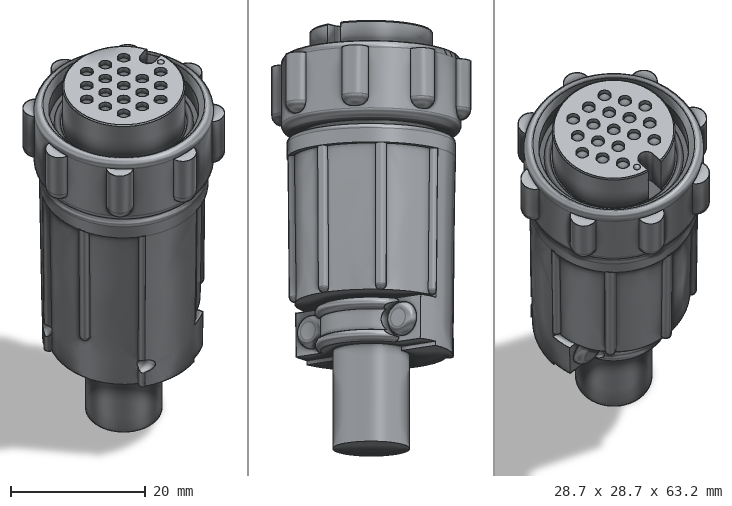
import cadquery as cq
import math


BODY_BOTTOM = 14.15
BACK_BOTTOM = 21.85
BODY_TOP = 43.9
COLLAR_TOP = 46.8
NUT_BOTTOM = 47.7
NUT_TOP = 59.25
FACE_TOP = 63.0
DOT_TOP = 63.2

CABLE_RADIUS = 5.7
NECK_RADIUS = 10.25
INSERT_RADIUS = 9.1
INSERT_CHAMFER = 0.2

SHELL_TOP_RADIUS = 12.5
SHELL_BOTTOM_RADIUS = 12.05
PANEL_TOP_RADIUS = 11.6
PANEL_BOTTOM_RADIUS = 11.25
COLLAR_ROUND = 0.75

RIDGE_RADIUS = 0.8
RIDGE_TOP_AXIS = 11.6
RIDGE_BOTTOM_AXIS = 11.45
RIDGE_END_ROUND = 0.75
FRONT_RIDGE_ANGLE = -90
BACK_RIDGE_ANGLES = (0, 45, 90, 135, 180)
EDGE_RIDGE_ANGLES = (-135, -45)

SCREW_X = 8.45
SCREW_Z = 18.1
SCREW_HOLE_RADIUS = 1.2
SCREW_HOLE_BOTTOM_Y = -5.05

CLAMP_BOTTOM = 14.8
CLAMP_TOP = 21.4
CLAMP_SEAT_Y = 3.15
SADDLE_RADIUS = 7.5
RIM_RADIUS = 8.35
RIM_ROUND = 0.9
HEAD_RADIUS = 2.5
HEAD_HEIGHT = 1.25
HEAD_ROUND = 1.15
HEAD_POCKET_RADIUS = 2.8

NUT_RADIUS = 13.3
NUT_TOP_ROUND = 1.15
NUT_BOTTOM_ROUND = 1.2
NUT_BORE_RADIUS = 11.1
NUT_BORE_CHAMFER = 0.9
NUT_FLOOR = 55.8
SEAL_CENTRE_RADIUS = 9.85
SEAL_ROUND = 0.475
GRIP_COUNT = 8
GRIP_FIRST_ANGLE = 27.5
GRIP_CENTRE_RADIUS = 12.95
GRIP_RADIUS = 2.0
GRIP_BOTTOM = 49.3
GRIP_END_ROUND = 1.6

MIDDLE_ROW_PINS = 5
PIN_PITCH = 3.15
PIN_ROW_PITCH = PIN_PITCH * math.sqrt(3) / 2
PIN_RADIUS = 0.95
PIN_DEPTH = 0.9
KEY_RADIUS = 1.25
KEY_CENTRE_Y = 7.2
DOT_X = 2.1
DOT_Y = 7.4
DOT_RADIUS = 0.5

REACH = 2 * NUT_RADIUS


def cylinder(radius, bottom, top):
    return cq.Workplane("XY").workplane(offset=bottom).circle(radius).extrude(top - bottom)


def block(x_range, y_range, z_range):
    size = [high - low for low, high in (x_range, y_range, z_range)]
    corner = (x_range[0], y_range[0], z_range[0])
    return cq.Workplane("XY").box(*size, centered=False).translate(corner)


def half_space(y_range, z_range):
    """A block wider than the body, spanning the given Y and Z ranges."""
    return block((-REACH, REACH), y_range, z_range)


def tapered_body(bottom_radius, top_radius):
    profile = [(0, BODY_BOTTOM), (bottom_radius, BODY_BOTTOM), (top_radius, BODY_TOP), (0, BODY_TOP)]
    return cq.Workplane("XZ").polyline(profile).close().revolve(360, (0, 0), (0, 1))


def torus(centre_radius, round_radius, z):
    ring = cq.Workplane("XZ").center(centre_radius, z).circle(round_radius)
    return ring.revolve(360, (-centre_radius, 0), (-centre_radius, 1))


def rod_along_y(radius, x, start_y, length):
    """A round rod at screw height, running from start_y by length along Y (negative: forwards)."""
    return cq.Workplane("XZ", origin=(x, start_y, SCREW_Z)).circle(radius).extrude(-length)


def front_wedge():
    """The quarter of space in front of the axis between the two edge ridges."""
    corners = [(0, 0), (-REACH, -REACH), (REACH, -REACH)]
    base = cq.Workplane("XY").workplane(offset=BODY_BOTTOM)
    return base.polyline(corners).close().extrude(BODY_TOP - BODY_BOTTOM)


def ridge(angle, bottom_z=BACK_BOTTOM):
    """A half-round ridge running down from the collar."""
    start = cq.Vector(RIDGE_BOTTOM_AXIS, 0, bottom_z)
    along = cq.Vector(RIDGE_TOP_AXIS, 0, BODY_TOP) - start
    rod = cq.Workplane(cq.Solid.makeCylinder(RIDGE_RADIUS, along.Length, start, along))
    return rod.rotate((0, 0, 0), (0, 0, 1), angle)


def rounded_ridge(angle):
    """A ridge that stops level with the back panel and has a rounded tip."""
    return ridge(angle).faces("<Z").edges().fillet(RIDGE_END_ROUND)


def make_body():
    shell = tapered_body(SHELL_BOTTOM_RADIUS, SHELL_TOP_RADIUS)
    panel = tapered_body(PANEL_BOTTOM_RADIUS, PANEL_TOP_RADIUS)
    wedge = front_wedge()

    sides = shell.intersect(half_space((-REACH, 0), (BODY_BOTTOM, BODY_TOP))).cut(wedge)
    front = panel.union(rounded_ridge(FRONT_RIDGE_ANGLE))
    for angle in EDGE_RIDGE_ANGLES:
        front = front.union(ridge(angle, BODY_BOTTOM))
    front = front.intersect(wedge)

    back = panel
    for angle in BACK_RIDGE_ANGLES:
        back = back.union(rounded_ridge(angle))
    back = back.intersect(half_space((0, REACH), (BACK_BOTTOM, BODY_TOP)))

    seat = shell.intersect(half_space((0, CLAMP_SEAT_Y), (CLAMP_BOTTOM, CLAMP_TOP)))
    body = front.union(sides).union(back).union(seat)
    for x in (-SCREW_X, SCREW_X):
        body = body.cut(rod_along_y(SCREW_HOLE_RADIUS, x, SCREW_HOLE_BOTTOM_Y, -REACH))
    collar = cylinder(SHELL_TOP_RADIUS, BODY_TOP, COLLAR_TOP).faces(">Z").edges().fillet(COLLAR_ROUND)
    return body.union(collar)


def make_clamp():
    """Arched saddle with two rounded rims, pocketed at each side for a screw head."""
    clamp = cylinder(SADDLE_RADIUS, CLAMP_BOTTOM, CLAMP_TOP)
    for z in (CLAMP_BOTTOM + RIM_ROUND, CLAMP_TOP - RIM_ROUND):
        clamp = clamp.union(torus(RIM_RADIUS - RIM_ROUND, RIM_ROUND, z))
    clamp = clamp.intersect(half_space((0, REACH), (CLAMP_BOTTOM, CLAMP_TOP)))
    for x in (-SCREW_X, SCREW_X):
        clamp = clamp.cut(rod_along_y(HEAD_POCKET_RADIUS, x, CLAMP_SEAT_Y, REACH))
        head = rod_along_y(HEAD_RADIUS, x, CLAMP_SEAT_Y, HEAD_HEIGHT)
        clamp = clamp.union(head.faces(">Y").edges().fillet(HEAD_ROUND))
    return clamp


def make_nut():
    nut = cylinder(NUT_RADIUS, NUT_BOTTOM, NUT_TOP)
    nut = nut.faces(">Z").edges().fillet(NUT_TOP_ROUND)
    nut = nut.faces("<Z").edges().fillet(NUT_BOTTOM_ROUND)
    grip_top = NUT_TOP - NUT_TOP_ROUND
    grip = cylinder(GRIP_RADIUS, GRIP_BOTTOM, grip_top).faces("<Z").edges().fillet(GRIP_END_ROUND)
    grip = grip.translate((GRIP_CENTRE_RADIUS, 0, 0))
    for index in range(GRIP_COUNT):
        angle = GRIP_FIRST_ANGLE + index * 360 / GRIP_COUNT
        nut = nut.union(grip.rotate((0, 0, 0), (0, 0, 1), angle))
    bore = cylinder(NUT_BORE_RADIUS, NUT_FLOOR, NUT_TOP)
    nut = nut.cut(bore)
    bore_edge = nut.faces(">Z").edges(cq.selectors.RadiusNthSelector(0))
    nut = bore_edge.chamfer(NUT_BORE_CHAMFER)
    return nut.union(torus(SEAL_CENTRE_RADIUS, SEAL_ROUND, NUT_FLOOR))


def pin_positions():
    """Hexagonal grid of contacts; the middle of the top row is left free for the keyway."""
    positions = []
    top_row = MIDDLE_ROW_PINS // 2
    for row in range(-top_row, top_row + 1):
        count = MIDDLE_ROW_PINS - abs(row)
        for column in range(count):
            x = (column - (count - 1) / 2) * PIN_PITCH
            if row == top_row and x == 0:
                continue
            positions.append((x, row * PIN_ROW_PITCH))
    return positions


def make_insert():
    insert = cylinder(INSERT_RADIUS, NUT_FLOOR, FACE_TOP).faces(">Z").edges().chamfer(INSERT_CHAMFER)
    face = cq.Workplane("XY").workplane(offset=FACE_TOP)
    pins = face.pushPoints(pin_positions()).circle(PIN_RADIUS).extrude(-PIN_DEPTH)
    insert = insert.cut(pins)
    keyway = block((-KEY_RADIUS, KEY_RADIUS), (KEY_CENTRE_Y, INSERT_RADIUS), (NUT_FLOOR, FACE_TOP))
    keyway = keyway.union(cylinder(KEY_RADIUS, NUT_FLOOR, FACE_TOP).translate((0, KEY_CENTRE_Y, 0)))
    insert = insert.cut(keyway)
    dot_height = DOT_TOP - FACE_TOP
    sphere_radius = (DOT_RADIUS**2 + dot_height**2) / (2 * dot_height)
    dot = cq.Workplane("XY").sphere(sphere_radius).translate((DOT_X, DOT_Y, DOT_TOP - sphere_radius))
    return insert.union(dot)


cable = cylinder(CABLE_RADIUS, 0, BODY_TOP)
neck = cylinder(NECK_RADIUS, BODY_TOP, NUT_FLOOR)
result = cable.union(make_body()).union(neck).union(make_clamp()).union(make_nut()).union(make_insert())